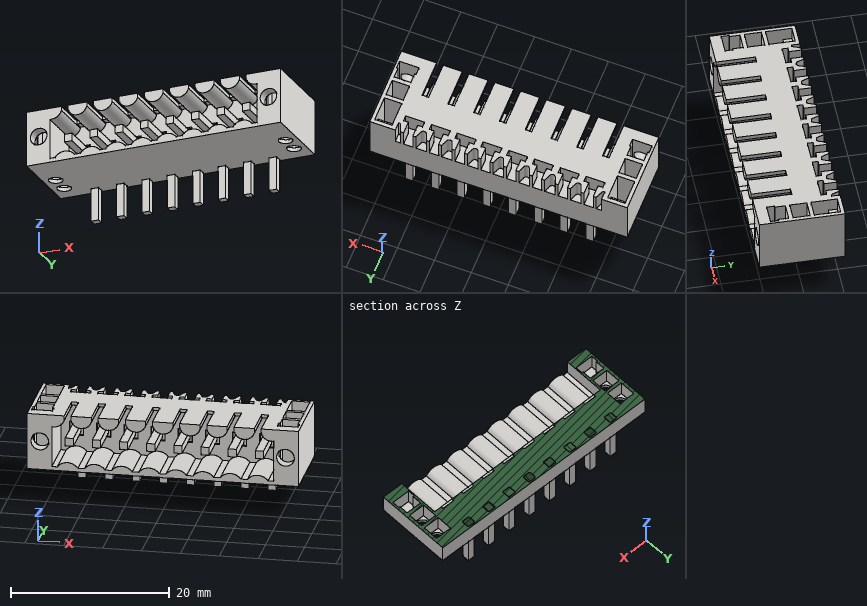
import cadquery as cq


LENGTH = 34.9
DEPTH = 11.05
HEIGHT = 7.47

PIN_COUNT = 8
PITCH = 3.5
PIN_SIZE = 1.05
PIN_AXIS_Z = 3.52
PIN_TIP_Y = 1.15
PIN_REAR_GAP = 0.3
LEG_LENGTH = 4.45
PIN_XS = [(i - (PIN_COUNT - 1) / 2) * PITCH for i in range(PIN_COUNT)]
RIB_XS = [PIN_XS[0] - PITCH / 2] + [x + PITCH / 2 for x in PIN_XS]

CAVITY_LENGTH = 28.48
CAVITY_DEPTH = 6.1
CAVITY_FLOOR_Z = 0.52
CAVITY_CEILING_Z = 7.05
RIB_RADIUS = 1.35
RIB_BOTTOM_Z = 5.9
RIB_WIDTH = 2.62
BUMP_WIDTH = 2.65
BUMP_HEIGHT = 0.65
SLOT_LENGTH = 5.05
PIN_RECESS_SIZE = 1.78
PIN_RECESS_DEPTH = 0.35

REAR_CUT_DEPTH = 2.8
T_NECK_WIDTH = 1.25
T_NECK_LENGTH = 1.68
T_HEAD_WIDTH = 2.55
T_HEAD_LENGTH = 0.75
NOTCH_MOUTH = 1.43
NOTCH_DEPTH = 1.15
NOTCH_TIP_WIDTH = 0.75
NOTCH_TIP_RISE = 0.25

END_X = 15.77
END_POCKET_WIDTH = 2.35
END_FLOOR_Z = CAVITY_FLOOR_Z
REAR_POCKET_Y = (7.15, 10.55)
REAR_LEDGE_Y = 9.4
REAR_LEDGE_DEPTH = 1.78
MIDDLE_POCKET_Y = (4.43, 6.63)
NUT_POCKET_Y = (1.5, 2.5)
NUT_POCKET_WIDTH = 2.65
NUT_CLEARANCE_Y = 3.87
NUT_CLEARANCE_WIDTH = 2.27
MOUNT_HOLE_DIAMETER = 1.85
MOUNT_HOLE_YS = (5.5, 8.25)
SCREW_HOLE_DIAMETER = 2.27
SCREW_HOLE_Z = 3.8


def block(x_center, width, y_range, z_range):
    """Box centred on x_center that fills the given Y and Z ranges."""
    y0, y1 = y_range
    z0, z1 = z_range
    return cq.Workplane("XY").box(width, y1 - y0, z1 - z0, centered=(True, False, False)).translate(
        (x_center, y0, z0)
    )


def ceiling_rib(x):
    """Round-bottomed rib that hangs from the cavity ceiling."""
    round_bar = (
        cq.Workplane("XZ", origin=(x, 0, RIB_BOTTOM_Z + RIB_RADIUS)).circle(RIB_RADIUS).extrude(-CAVITY_DEPTH)
    )
    return round_bar.intersect(block(x, RIB_WIDTH, (0, CAVITY_DEPTH), (0, HEIGHT)))


def floor_bump(x):
    """Shallow arched ridge on the cavity floor below a pin."""
    return (
        cq.Workplane("XZ", origin=(x, 0, CAVITY_FLOOR_Z))
        .moveTo(-BUMP_WIDTH / 2, 0)
        .threePointArc((0, BUMP_HEIGHT), (BUMP_WIDTH / 2, 0))
        .close()
        .extrude(-CAVITY_DEPTH)
    )


def plug_cavity():
    """Space inside the cavity, with the ribs and bumps taken out of it."""
    cavity = block(0, CAVITY_LENGTH, (0, CAVITY_DEPTH), (CAVITY_FLOOR_Z, CAVITY_CEILING_Z))
    for x in RIB_XS:
        cavity = cavity.cut(ceiling_rib(x))
    for x in PIN_XS:
        cavity = cavity.cut(floor_bump(x))
    rib_span = RIB_XS[-1] - RIB_XS[0]
    end_width = (CAVITY_LENGTH - rib_span) / 2
    for side in (-1, 1):
        end_x = side * (rib_span + end_width) / 2
        cavity = cavity.cut(block(end_x, end_width, (0, CAVITY_DEPTH), (RIB_BOTTOM_Z, HEIGHT)))
    return cavity


def top_slot(x):
    """Slot through the roof above a pin, open at the front."""
    return block(x, PITCH - RIB_WIDTH, (0, SLOT_LENGTH), (CAVITY_CEILING_Z, HEIGHT))


def pin_recess(x):
    """Square recess around a pin in the rear wall of the cavity."""
    half = PIN_RECESS_SIZE / 2
    return block(
        x,
        PIN_RECESS_SIZE,
        (CAVITY_DEPTH, CAVITY_DEPTH + PIN_RECESS_DEPTH),
        (PIN_AXIS_Z - half, PIN_AXIS_Z + half),
    )


def t_slot(x):
    """T-shaped slot in the rear top edge, its neck open to the rear."""
    z_range = (HEIGHT - REAR_CUT_DEPTH, HEIGHT)
    neck_y = DEPTH - T_NECK_LENGTH
    neck = block(x, T_NECK_WIDTH, (neck_y, DEPTH), z_range)
    head = block(x, T_HEAD_WIDTH, (neck_y - T_HEAD_LENGTH, neck_y), z_range)
    return neck.union(head)


def rear_notch(x):
    """Tapered notch with a rounded tip, cut into the rear between two T-slots."""
    shoulder_y = NOTCH_TIP_RISE - NOTCH_DEPTH
    return (
        cq.Workplane("XY", origin=(x, DEPTH, HEIGHT - REAR_CUT_DEPTH))
        .moveTo(-NOTCH_MOUTH / 2, 0)
        .lineTo(-NOTCH_TIP_WIDTH / 2, shoulder_y)
        .threePointArc((0, -NOTCH_DEPTH), (NOTCH_TIP_WIDTH / 2, shoulder_y))
        .lineTo(NOTCH_MOUTH / 2, 0)
        .close()
        .extrude(REAR_CUT_DEPTH)
    )


def rear_notches():
    """All notches; the two outermost are halved at the ends of the row."""
    row = block(0, RIB_XS[-1] - RIB_XS[0], (0, DEPTH), (0, HEIGHT))
    return [rear_notch(x).intersect(row) for x in RIB_XS]


def end_block_cuts(x):
    """Pockets, mounting holes and screw hole of one end block."""
    full = (END_FLOOR_Z, HEIGHT)
    rear_y0, rear_y1 = REAR_POCKET_Y
    nut_y0, nut_y1 = NUT_POCKET_Y
    cuts = [
        block(x, END_POCKET_WIDTH, (rear_y0, REAR_LEDGE_Y), full),
        block(x, END_POCKET_WIDTH, (REAR_LEDGE_Y, rear_y1), (HEIGHT - REAR_LEDGE_DEPTH, HEIGHT)),
        block(x, END_POCKET_WIDTH, MIDDLE_POCKET_Y, full),
        block(x, NUT_POCKET_WIDTH, NUT_POCKET_Y, full),
        block(x, NUT_CLEARANCE_WIDTH, (nut_y1, NUT_CLEARANCE_Y), full),
    ]
    for y in MOUNT_HOLE_YS:
        cuts.append(cq.Workplane("XY", origin=(x, y, 0)).circle(MOUNT_HOLE_DIAMETER / 2).extrude(HEIGHT))
    screw_plane = cq.Workplane("XZ", origin=(x, 0, SCREW_HOLE_Z))
    cuts.append(screw_plane.circle(SCREW_HOLE_DIAMETER / 2).extrude(-nut_y0))
    return cuts


def make_pin(x):
    """Angled square pin: a contact bar along Y and a solder leg down from its rear end."""
    rear_y = DEPTH - PIN_REAR_GAP
    top_z = PIN_AXIS_Z + PIN_SIZE / 2
    bar = block(x, PIN_SIZE, (PIN_TIP_Y, rear_y), (top_z - PIN_SIZE, top_z))
    leg = block(x, PIN_SIZE, (rear_y - PIN_SIZE, rear_y), (-LEG_LENGTH, top_z))
    return bar.union(leg)


def make_housing(pins):
    """Housing with its cavity, slots, pockets and a matching passage for every pin."""
    body = block(0, LENGTH, (0, DEPTH), (0, HEIGHT)).cut(plug_cavity())
    for x in PIN_XS:
        body = body.cut(top_slot(x)).cut(pin_recess(x)).cut(t_slot(x))
    for notch in rear_notches():
        body = body.cut(notch)
    for x in (-END_X, END_X):
        for cut in end_block_cuts(x):
            body = body.cut(cut)
    for pin in pins:
        body = body.cut(pin)
    return body


pins = [make_pin(x) for x in PIN_XS]
housing = make_housing(pins)

result = cq.Compound.makeCompound([housing.val(), *[pin.val() for pin in pins]])